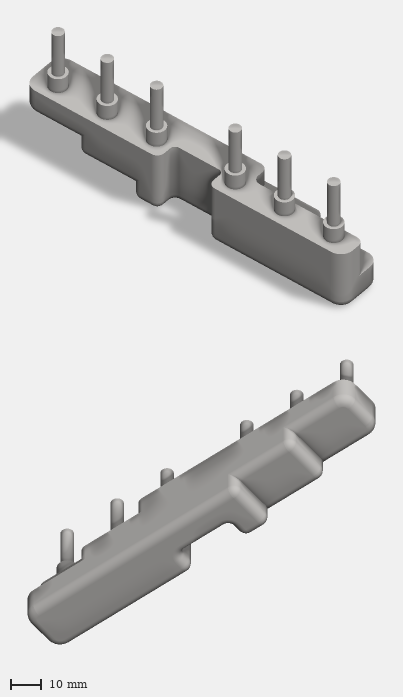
import cadquery as cq

length = 135.2
width = 19.0
body_height = 24.0
end_radius = 5.0
edge_radius = 3.0
inner_radius = 2.0

notch_center = length / 2
notch_width = 20.8
notch_depth = 8.1

under_steps = [(23.0, 10.5), (46.1, 17.5)]

ledge_starts = [88.0, 111.7]
ledge_drop = 6.8
ledge_width = 8.1

pin_diameter = 4.5
collar_diameter = 7.0
collar_height = 6.1
pin_height = 23.9
pin_y = 6.6
pin_offsets = [16.6, 37.5, 58.3]


def box(x_min, x_max, y_min, y_max, z_min, z_max):
    size = (x_max - x_min, y_max - y_min, z_max - z_min)
    return cq.Workplane("XY").box(*size, centered=False).translate((x_min, y_min, z_min))


def round_upright_edges(solid, radius, x, y):
    """Round the vertical edges that stand at the given x and y."""
    reach = 0.1
    corner = cq.selectors.BoxSelector(
        (x - reach, y - reach, -2 * body_height), (x + reach, y + reach, body_height)
    )
    return solid.edges("|Z").edges(corner).fillet(radius)


def make_block():
    block = box(0, length, 0, width, -body_height, 0).edges("|Z").fillet(end_radius)
    notch_sides = (notch_center - notch_width / 2, notch_center + notch_width / 2)
    block = block.cut(box(*notch_sides, 0, notch_depth, -body_height, 0))
    for x in notch_sides:
        block = round_upright_edges(block, edge_radius, x, 0)
        block = round_upright_edges(block, inner_radius, x, notch_depth)
    return block


def step_and_round_underside(block):
    for riser_x, tread_depth in under_steps:
        block = block.cut(box(0, riser_x, 0, width, -body_height, -tread_depth))

    edges = block.faces("-Z").edges()
    for riser_x, tread_depth in under_steps:
        inner_corner = cq.selectors.NearestToPointSelector((riser_x, width / 2, -tread_depth))
        corner_edge = block.edges("|Y").edges(inner_corner).val()
        edges = edges.newObject(
            [edge for edge in edges.vals() if not edge.isSame(corner_edge)]
        )

    tread_depths = [depth for _, depth in under_steps] + [body_height]
    for number, (riser_x, tread_depth) in enumerate(under_steps):
        riser_middle_z = -(tread_depth + tread_depths[number + 1]) / 2
        for y in (0, width):
            upright = cq.selectors.NearestToPointSelector((riser_x, y, riser_middle_z))
            edges = edges.add(block.edges("|Z").edges(upright))
    return edges.fillet(edge_radius)


def cut_ledges(block):
    wall_y = width - ledge_width
    for number, start_x in enumerate(ledge_starts, 1):
        ledge = box(start_x, length, wall_y, width, -number * ledge_drop, 0)
        ledge = round_upright_edges(ledge, edge_radius, start_x, wall_y)
        block = block.cut(ledge)
        block = round_upright_edges(block, edge_radius, start_x, width)
    return round_upright_edges(block, edge_radius, length, wall_y)


def make_pin(x):
    base = cq.Workplane("XY").center(x, pin_y)
    collar = base.circle(collar_diameter / 2).extrude(collar_height)
    return collar.union(base.circle(pin_diameter / 2).extrude(pin_height))


result = cut_ledges(step_and_round_underside(make_block()))
for offset in pin_offsets:
    for side in (-1, 1):
        result = result.union(make_pin(notch_center + side * offset))